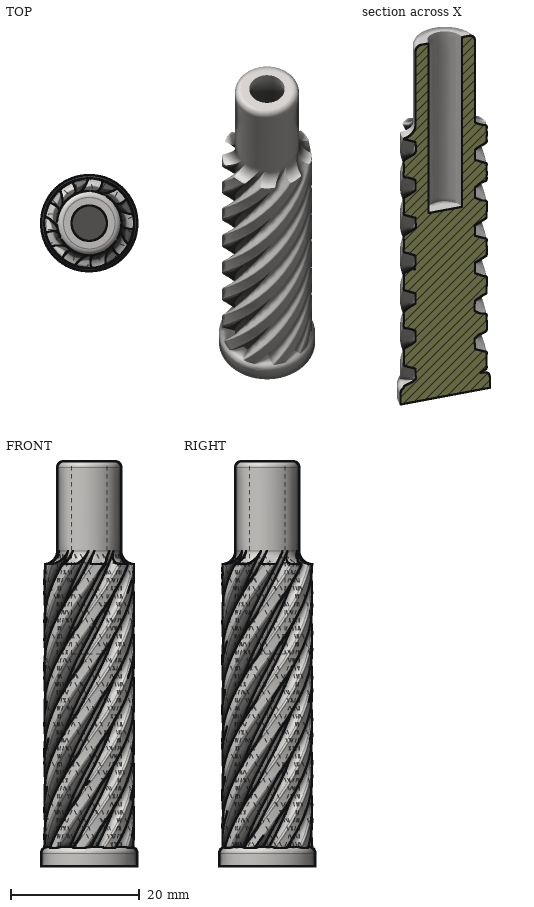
import cadquery as cq
import math

total_height = 63.0
base_height = 3.0
shoulder_height = 47.0

base_radius = 7.5
shaft_radius = 5.0
bore_radius = 2.75
bore_depth = 30.0
rim_fillet = 1.0

land_count = 9
land_radius = 7.0
land_lead = 60.0
land_root_width = 2.6
land_crest_width = 2.3
land_edge_round = 0.35
root_overlap = 0.5
trim_clearance = 1.0
run_out_radius = land_radius - shaft_radius
land_top = shoulder_height + run_out_radius


def make_base():
    disc = cq.Workplane("XY").circle(base_radius).extrude(base_height)
    return disc.faces(">Z").edges().fillet(rim_fillet)


def make_shaft():
    shaft = cq.Workplane("XY").circle(shaft_radius).extrude(total_height)
    return shaft.faces(">Z").edges().fillet(rim_fillet)


def turned(point, angle):
    """Turn a point of the cross-section about the axis by an angle in radians."""
    x, y = point
    return (
        x * math.cos(angle) - y * math.sin(angle),
        x * math.sin(angle) + y * math.cos(angle),
    )


def make_lands():
    """All helical lands on a common root, twisted up together; one is centred on +X at z = 0."""
    root_x = shaft_radius - root_overlap
    half_root = land_root_width / 2
    half_crest = land_crest_width / 2
    half_flat = half_crest - land_edge_round
    crest_x = math.sqrt(land_radius**2 - half_flat**2)
    round_x = crest_x - land_edge_round
    bulge = land_edge_round * math.sqrt(0.5)
    pitch_angle = 2 * math.pi / land_count

    section = cq.Workplane("XY").moveTo(*turned((root_x, half_root), -pitch_angle))
    for index in range(land_count):
        angle = index * pitch_angle
        section = (
            section
            .lineTo(*turned((root_x, -half_root), angle))
            .lineTo(*turned((round_x, -half_crest), angle))
            .threePointArc(
                turned((round_x + bulge, -half_flat - bulge), angle),
                turned((crest_x, -half_flat), angle),
            )
            .threePointArc(turned((land_radius, 0), angle), turned((crest_x, half_flat), angle))
            .threePointArc(
                turned((round_x + bulge, half_flat + bulge), angle),
                turned((round_x, half_crest), angle),
            )
            .lineTo(*turned((root_x, half_root), angle))
        )
    twist_degrees = 360 * land_top / land_lead
    return section.close().twistExtrude(land_top, twist_degrees).cut(make_run_out_cutter())


def make_run_out_cutter():
    """Ring that trims the land tops to a concave arc blending into the shaft."""
    outer = base_radius + trim_clearance
    arc_offset = run_out_radius * (1 - math.sqrt(0.5))
    return (
        cq.Workplane("XZ")
        .moveTo(outer, shoulder_height)
        .lineTo(land_radius, shoulder_height)
        .threePointArc(
            (shaft_radius + arc_offset, shoulder_height + arc_offset),
            (shaft_radius, land_top),
        )
        .lineTo(shaft_radius, land_top + trim_clearance)
        .lineTo(outer, land_top + trim_clearance)
        .close()
        .revolve(360, (0, 0, 0), (0, 1, 0))
    )


def make_bore():
    bore_floor = total_height - bore_depth
    return cq.Workplane("XY").workplane(offset=bore_floor).circle(bore_radius).extrude(bore_depth)


result = make_base().union(make_shaft()).union(make_lands()).cut(make_bore())